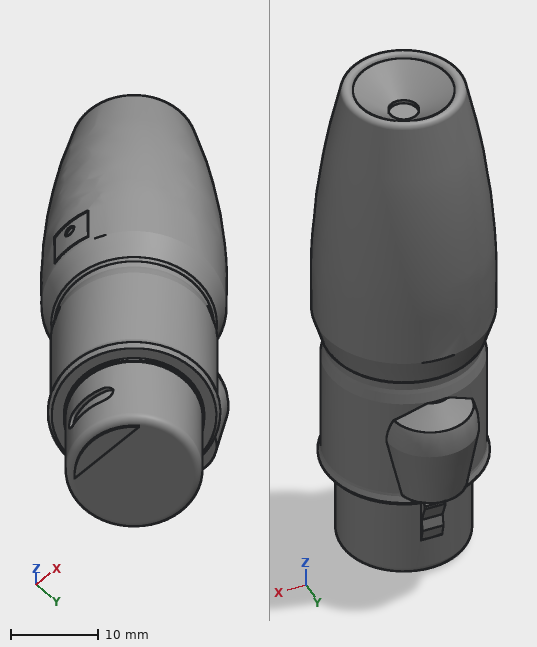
import cadquery as cq
import math

TOTAL_HEIGHT = 65.6
FULL_REACH_Y = 13.05

BOOT_RADIUS = 10.7
BOOT_WIDEST_Z = 37.4
BOOT_SHOULDER_Z = 33.4
BOOT_BOTTOM_RADIUS = 9.5
BOOT_BOTTOM_Z = 29.85
RIM_OUTER_RADIUS = 7.3
RIM_EDGE_Z = 65.0
RIM_CREST_RADIUS = 6.5
RIM_INNER_RADIUS = 5.85
RIM_INNER_Z = 65.15

FUNNEL_BOTTOM_RADIUS = 1.8
FUNNEL_BOTTOM_Z = 62.3
WELL_DEPTH = 0.45

HOUSING_RADIUS = 9.6
HOUSING_BOTTOM_Z = 13.5
HOUSING_TOP_Z = 26.65
NECK_RADIUS = 9.2
NECK_BOTTOM_Z = 28.4
NECK_TOP_Z = 29.45
SHOULDER_RADIUS = 9.3
SHOULDER_Z = 27.9

FLANGE_RADIUS = 9.9
FLANGE_LIP_Z = 12.5
FLARE_RADIUS = 9.65
FLARE_Z = 13.2
FLANGE_BOTTOM_RADIUS = 9.45
FLANGE_BOTTOM_Z = 11.9
COLLAR_RADIUS = 8.1
COLLAR_BOTTOM_Z = 11.4

SLEEVE_RADIUS = 7.9
SLEEVE_BOTTOM_Z = 0.25
SLEEVE_EDGE_ROUND = 1.0
FOOT_RADIUS = 6.8
FOOT_INNER_Y = -4.45

BUTTON_AXIS_Y = 7.4
BUTTON_RADIUS = FULL_REACH_Y - BUTTON_AXIS_Y
BUTTON_WIDEST_Z = 21.1
BUTTON_BOTTOM_RADIUS = 4.25
BUTTON_BOTTOM_Z = 13.3
BUTTON_SHOULDER_RADIUS = 5.0
BUTTON_SHOULDER_Z = 24.3
BUTTON_TOP_RADIUS = 2.4
BUTTON_TOP_Z = 26.5

TONGUE_WIDTH = 2.6
TONGUE_ROOT_Y = 7.2
TONGUE_BOTTOM_Z = 5.25
HOOK_TOP_Y = 8.65
HOOK_TOP_Z = 11.2
HOOK_TIP_Y = 8.85
HOOK_TIP_TOP_Z = 10.9
HOOK_TIP_BOTTOM_Z = 10.5
VALLEY_Y = 8.0
VALLEY_Z = 8.35
BUMP_Y = 8.3
BUMP_Z = 6.9

PANEL_WIDTH = 5.4
PANEL_BOTTOM_Z = 34.4
PANEL_TOP_Z = 39.45
PANEL_DEPTH = 0.1
PIN_HOLE_RADIUS = 0.7
PIN_HOLE_Z = 37.8
PIN_HOLE_DEPTH = 0.3

SLOT_LENGTH = 7.1
SLOT_HEIGHT = 2.5
SLOT_Z = 6.1
SLOT_DEPTH = 0.5


def bulge_arc_radius(widest, end):
    """Radius of the arc that runs upright at `widest` and passes through `end`; both are (radius, z)."""
    inset = widest[0] - end[0]
    rise = end[1] - widest[1]
    return (inset**2 + rise**2) / (2 * inset)


def turned_body():
    """Sleeve, flange, housing and boot with its funnel, as one revolved profile."""
    boot_arc = bulge_arc_radius((BOOT_RADIUS, BOOT_WIDEST_Z), (RIM_OUTER_RADIUS, RIM_EDGE_Z))
    shoulder_drop = BOOT_WIDEST_Z - BOOT_SHOULDER_Z
    boot_shoulder_radius = BOOT_RADIUS - boot_arc + math.sqrt(boot_arc**2 - shoulder_drop**2)
    sleeve_round_z = SLEEVE_BOTTOM_Z + SLEEVE_EDGE_ROUND
    profile = (
        cq.Workplane("XZ")
        .moveTo(0, SLEEVE_BOTTOM_Z)
        .lineTo(SLEEVE_RADIUS - SLEEVE_EDGE_ROUND, SLEEVE_BOTTOM_Z)
        .radiusArc((SLEEVE_RADIUS, sleeve_round_z), -SLEEVE_EDGE_ROUND)
        .lineTo(SLEEVE_RADIUS, COLLAR_BOTTOM_Z)
        .lineTo(COLLAR_RADIUS, COLLAR_BOTTOM_Z)
        .lineTo(COLLAR_RADIUS, FLANGE_BOTTOM_Z)
        .lineTo(FLANGE_BOTTOM_RADIUS, FLANGE_BOTTOM_Z)
        .lineTo(FLANGE_RADIUS, FLANGE_LIP_Z)
        .lineTo(FLARE_RADIUS, FLARE_Z)
        .lineTo(HOUSING_RADIUS, HOUSING_BOTTOM_Z)
        .lineTo(HOUSING_RADIUS, HOUSING_TOP_Z)
        .lineTo(SHOULDER_RADIUS, SHOULDER_Z)
        .lineTo(NECK_RADIUS, NECK_BOTTOM_Z)
        .lineTo(NECK_RADIUS, NECK_TOP_Z)
        .lineTo(BOOT_BOTTOM_RADIUS, BOOT_BOTTOM_Z)
        .lineTo(boot_shoulder_radius, BOOT_SHOULDER_Z)
        .radiusArc((RIM_OUTER_RADIUS, RIM_EDGE_Z), -boot_arc)
        .threePointArc((RIM_CREST_RADIUS, TOTAL_HEIGHT), (RIM_INNER_RADIUS, RIM_INNER_Z))
        .lineTo(FUNNEL_BOTTOM_RADIUS, FUNNEL_BOTTOM_Z)
        .lineTo(FUNNEL_BOTTOM_RADIUS, FUNNEL_BOTTOM_Z - WELL_DEPTH)
        .lineTo(0, FUNNEL_BOTTOM_Z - WELL_DEPTH)
        .close()
    )
    return profile.revolve(360, (0, 0, 0), (0, 1, 0))


def latch_button():
    """Thumb button, widest at mid height and narrowing to both ends."""
    widest = (BUTTON_RADIUS, BUTTON_WIDEST_Z)
    shoulder = (BUTTON_SHOULDER_RADIUS, BUTTON_SHOULDER_Z)
    profile = (
        cq.Workplane("XZ")
        .moveTo(0, BUTTON_BOTTOM_Z)
        .lineTo(BUTTON_BOTTOM_RADIUS, BUTTON_BOTTOM_Z)
        .lineTo(*widest)
        .radiusArc(shoulder, -bulge_arc_radius(widest, shoulder))
        .lineTo(BUTTON_TOP_RADIUS, BUTTON_TOP_Z)
        .lineTo(0, BUTTON_TOP_Z)
        .close()
    )
    return profile.revolve(360, (0, 0, 0), (0, 1, 0)).translate((0, BUTTON_AXIS_Y, 0))


def latch_tongue():
    """Thin spring plate with a hook at its top and a small bump below."""
    outline = (
        cq.Workplane("YZ")
        .moveTo(TONGUE_ROOT_Y, COLLAR_BOTTOM_Z)
        .lineTo(SLEEVE_RADIUS, COLLAR_BOTTOM_Z)
        .lineTo(HOOK_TOP_Y, HOOK_TOP_Z)
        .lineTo(HOOK_TIP_Y, HOOK_TIP_TOP_Z)
        .lineTo(HOOK_TIP_Y, HOOK_TIP_BOTTOM_Z)
        .lineTo(VALLEY_Y, VALLEY_Z)
        .lineTo(BUMP_Y, BUMP_Z)
        .lineTo(SLEEVE_RADIUS, TONGUE_BOTTOM_Z)
        .lineTo(TONGUE_ROOT_Y, TONGUE_BOTTOM_Z)
        .close()
    )
    return outline.extrude(TONGUE_WIDTH / 2, both=True)


def key_foot():
    """Thin segment under the -Y side of the sleeve."""
    disc = cq.Workplane("XY").circle(FOOT_RADIUS).extrude(SLEEVE_BOTTOM_Z)
    front_block = (
        cq.Workplane("XY")
        .center(0, FOOT_INNER_Y - FOOT_RADIUS / 2)
        .rect(2 * FOOT_RADIUS, FOOT_RADIUS)
        .extrude(SLEEVE_BOTTOM_Z)
    )
    return disc.intersect(front_block)


def front_recess(outline, radius, depth):
    """Cutter for a recess of even depth into the -Y side of a round wall."""
    block = outline.extrude(2 * radius)
    return block.cut(cq.Workplane("XY").circle(radius - depth).extrude(TOTAL_HEIGHT))


def front_plane(z):
    """Sketch plane through the axis at height z, extruding toward -Y."""
    return cq.Workplane("XZ", origin=(0, 0, z))


panel_height = PANEL_TOP_Z - PANEL_BOTTOM_Z
panel_outline = front_plane(PANEL_BOTTOM_Z + panel_height / 2).rect(PANEL_WIDTH, panel_height)
pin_hole_outline = front_plane(PIN_HOLE_Z).circle(PIN_HOLE_RADIUS)
slot_outline = front_plane(SLOT_Z).slot2D(SLOT_LENGTH, SLOT_HEIGHT)

result = (
    turned_body()
    .union(latch_button())
    .union(latch_tongue())
    .union(key_foot())
    .cut(front_recess(panel_outline, BOOT_RADIUS, PANEL_DEPTH))
    .cut(front_recess(pin_hole_outline, BOOT_RADIUS, PIN_HOLE_DEPTH))
    .cut(front_recess(slot_outline, SLEEVE_RADIUS, SLOT_DEPTH))
)